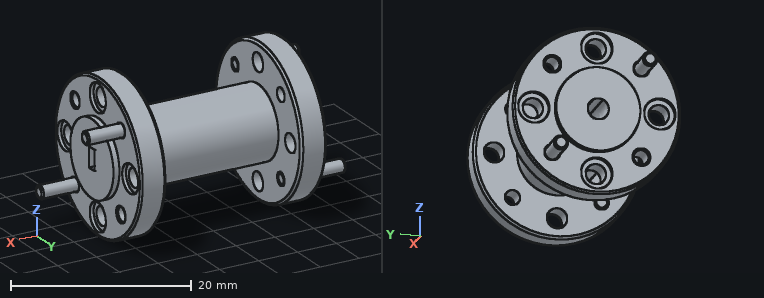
import cadquery as cq
import math

half_length = 16.58
boss_face = 12.7
flange_outer_face = 11.95
flange_thickness = 3.3
flange_inner_face = flange_outer_face - flange_thickness

flange_diameter = 19.05
boss_diameter = 9.55
tube_diameter = 9.1
outer_rim_chamfer = 0.23
inner_rim_chamfer = 0.3

round_port_diameter = 2.4
slot_width = 1.25
slot_height = 2.55

pitch_radius = 7.15
screw_hole_diameter = 2.3
counterbore_diameter = 3.55
counterbore_depth = 0.5
pin_diameter = 1.62
pin_end_chamfer = 0.2
pin_hole_chamfer = 0.1
socket_diameter = 1.7
socket_chamfer = 0.15

sides = (-1, 1)
screw_angles = (0, 90, 180, 270)
pin_angles = {-1: (135, 315), 1: (45, 225)}
socket_angles = {-1: pin_angles[1], 1: pin_angles[-1]}


def rod(side, x_start, x_end, diameter, y=0.0, z=0.0):
    """Cylinder along X between two distances from the middle, on the given side."""
    return (
        cq.Workplane("YZ", origin=(side * x_start, y, z))
        .circle(diameter / 2)
        .extrude(side * (x_end - x_start))
    )


def on_pitch_circle(angle):
    """Y and Z of a point on the pitch circle."""
    turn = math.radians(angle)
    return pitch_radius * math.cos(turn), pitch_radius * math.sin(turn)


def make_flange(side):
    """Chamfered flange disc with its raised mating boss."""
    outer_rim = ">X" if side > 0 else "<X"
    inner_rim = "<X" if side > 0 else ">X"
    disc = rod(side, flange_inner_face, flange_outer_face, flange_diameter)
    disc = disc.faces(outer_rim).edges().chamfer(outer_rim_chamfer)
    disc = disc.faces(inner_rim).edges().chamfer(inner_rim_chamfer)
    return disc.union(rod(side, flange_inner_face, boss_face, boss_diameter))


def screw_hole(side, angle):
    """Through hole counterbored from the outer face."""
    y, z = on_pitch_circle(angle)
    hole = rod(side, flange_inner_face, flange_outer_face, screw_hole_diameter, y, z)
    floor = flange_outer_face - counterbore_depth
    return hole.union(rod(side, floor, flange_outer_face, counterbore_diameter, y, z))


def countersunk_hole(side, angle, diameter, chamfer):
    """Through hole with its edge chamfered at the outer face."""
    y, z = on_pitch_circle(angle)
    hole = rod(side, flange_inner_face, flange_outer_face, diameter, y, z)
    countersink = (
        cq.Workplane("YZ", origin=(side * flange_outer_face, y, z))
        .circle(diameter / 2 + chamfer)
        .workplane(offset=-side * chamfer)
        .circle(diameter / 2)
        .loft()
    )
    return hole.union(countersink)


def make_passage():
    """Waveguide passage changing smoothly from round to rectangular.

    The circle is split into four arcs towards the corners of the rectangle,
    so each arc flows into one flat side.
    """
    radius = round_port_diameter / 2
    corner_angle = math.atan2(slot_height, slot_width)
    y = radius * math.cos(corner_angle)
    z = radius * math.sin(corner_angle)
    return (
        cq.Workplane("YZ", origin=(-boss_face, 0, 0))
        .moveTo(-y, -z)
        .threePointArc((0, -radius), (y, -z))
        .threePointArc((radius, 0), (y, z))
        .threePointArc((0, radius), (-y, z))
        .threePointArc((-radius, 0), (-y, -z))
        .close()
        .workplane(offset=2 * boss_face)
        .rect(slot_width, slot_height)
        .loft()
    )


def make_housing():
    """Tube with a flange at each end, bored and drilled."""
    housing = rod(1, -flange_inner_face, flange_inner_face, tube_diameter)
    for side in sides:
        housing = housing.union(make_flange(side))
        for angle in screw_angles:
            housing = housing.cut(screw_hole(side, angle))
        for angle in pin_angles[side]:
            housing = housing.cut(countersunk_hole(side, angle, pin_diameter, pin_hole_chamfer))
        for angle in socket_angles[side]:
            housing = housing.cut(countersunk_hole(side, angle, socket_diameter, socket_chamfer))
    return housing.cut(make_passage())


def make_pin(side, angle):
    """Alignment pin, flush with the inner face of its flange, chamfered at both ends."""
    y, z = on_pitch_circle(angle)
    pin = rod(side, flange_inner_face, half_length, pin_diameter, y, z)
    return pin.faces("<X or >X").edges().chamfer(pin_end_chamfer)


housing = make_housing()
pins = [make_pin(side, angle) for side in sides for angle in pin_angles[side]]

result = cq.Compound.makeCompound([housing.val(), *[pin.val() for pin in pins]])